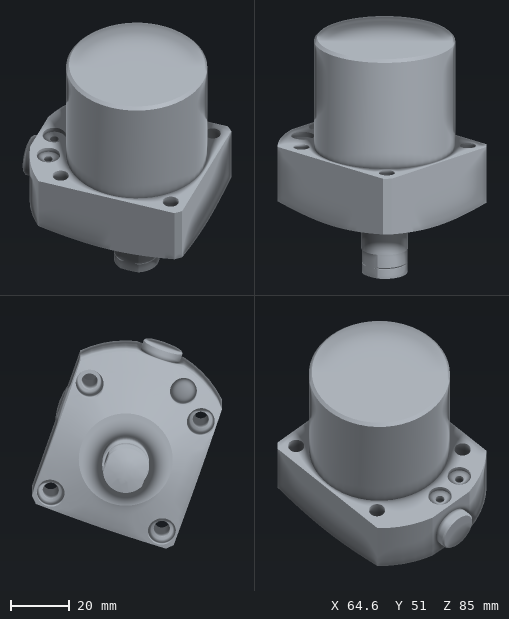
import cadquery as cq
import math


barrel_diameter = 48.0
barrel_height = 39.0
barrel_chamfer = 1.0
flange_width = 51.0
flange_right = 25.5
flange_flat = 35.45
flange_round_radius = 36.5
flange_corner_chamfer = 2.0
flange_depth = 25.0
nose_radius = 16.0
nose_angle = 15.0

bolt_spacing = 40.0
bolt_hole_diameter = 5.5
bolt_spot_face_diameter = 9.5
side_port_spot_face_diameter = 9.2
spot_face_z = -17.0
port_recess_diameter = 8.0
port_recess_depth = 1.7
port_diameter = 3.0
main_port = (-30.0, 0)
side_port = (-28.0, -11.0)
side_port_depth = 10.2

plug_diameter = 14.0
plug_z = -11.0
plug_projection = 3.6
plug_insertion = 4.9
plug_chamfer = 0.5
plug_bore_depth = 7.5

plunger_diameter = 16.0
plunger_length = 11.4
neck_diameter = 15.5
neck_length = 5.2
neck_chamfer = 0.5
wrench_width = 14.0
contact_dome_height = 1.0
overall_height = 85.0

neck_top = -flange_depth - plunger_length
contact_top = neck_top - neck_length
contact_tip = barrel_height - overall_height


def vertical_cylinder(diameter, bottom, top, center=(0, 0)):
    """Upright cylinder between two heights."""
    return cq.Workplane("XY", origin=(*center, bottom)).circle(diameter / 2).extrude(top - bottom)


def side_cylinder(depth):
    """Cylinder on the plug axis, from the -X flat to a depth inside the flange."""
    return cq.Workplane("YZ", origin=(-flange_flat, 0, plug_z)).circle(plug_diameter / 2).extrude(depth)


def make_flange():
    """Flange plate with a rounded -X end, a conical underside and chamfered +X corners."""
    half_width = flange_width / 2
    round_x = -math.sqrt(flange_round_radius**2 - half_width**2)
    flat_y = math.sqrt(flange_round_radius**2 - flange_flat**2)
    middle_angle = (math.atan2(half_width, -round_x) + math.atan2(flat_y, flange_flat)) / 2
    middle_x = -flange_round_radius * math.cos(middle_angle)
    middle_y = flange_round_radius * math.sin(middle_angle)
    plate = (
        cq.Workplane("XY")
        .moveTo(flange_right, -half_width)
        .lineTo(flange_right, half_width)
        .lineTo(round_x, half_width)
        .threePointArc((middle_x, middle_y), (-flange_flat, flat_y))
        .lineTo(-flange_flat, -flat_y)
        .threePointArc((middle_x, -middle_y), (round_x, -half_width))
        .close()
        .extrude(-flange_depth)
        .edges("|Z and >X")
        .chamfer(flange_corner_chamfer)
    )
    outer_radius = 1.1 * flange_round_radius
    cone_rise = (outer_radius - nose_radius) * math.tan(math.radians(nose_angle))
    envelope = (
        cq.Workplane("XZ")
        .polyline([
            (0, 0),
            (outer_radius, 0),
            (outer_radius, cone_rise - flange_depth),
            (nose_radius, -flange_depth),
            (0, -flange_depth),
        ])
        .close()
        .revolve(360, (0, 0, 0), (0, 1, 0))
    )
    return plate.intersect(envelope)


def make_housing():
    """Flange and barrel in one piece, with bolt holes, ports and the plug bore."""
    barrel = vertical_cylinder(barrel_diameter, 0, barrel_height).faces(">Z").chamfer(barrel_chamfer)
    housing = make_flange().union(barrel)
    half_spacing = bolt_spacing / 2
    bolt_places = [(x, y) for x in (-half_spacing, half_spacing) for y in (-half_spacing, half_spacing)]
    for place in bolt_places:
        housing = housing.cut(vertical_cylinder(bolt_hole_diameter, -flange_depth, 0, place))
        housing = housing.cut(vertical_cylinder(bolt_spot_face_diameter, -flange_depth, spot_face_z, place))
    housing = housing.cut(
        vertical_cylinder(side_port_spot_face_diameter, -flange_depth, spot_face_z, side_port)
    )
    for place, depth in ((main_port, -plug_z), (side_port, side_port_depth)):
        housing = housing.cut(vertical_cylinder(port_recess_diameter, -port_recess_depth, 0, place))
        housing = housing.cut(vertical_cylinder(port_diameter, -depth, 0, place))
    return housing.cut(side_cylinder(plug_bore_depth))


def make_plug():
    """Round plug that stands out of the -X flat and leaves the end of its bore open to the port."""
    head = side_cylinder(-plug_projection).faces("<X").chamfer(plug_chamfer)
    return head.union(side_cylinder(plug_insertion))


def wrench_flats(bottom, top):
    """Slab that trims a round body to two parallel wrench flats."""
    slab = cq.Workplane("XY", origin=(0, 0, bottom))
    return slab.rect(plunger_diameter, wrench_width).extrude(top - bottom)


def make_plunger():
    """Round plunger with a thinner neck that has two wrench flats."""
    rod = vertical_cylinder(plunger_diameter, neck_top, -flange_depth)
    neck = vertical_cylinder(neck_diameter, contact_top, neck_top).faces("<Z").chamfer(neck_chamfer)
    return rod.union(neck.intersect(wrench_flats(contact_top, neck_top)))


def make_contact_bolt():
    """Contact bolt head below the neck, with wrench flats and a shallow domed tip."""
    radius = neck_diameter / 2
    rim_z = contact_tip + contact_dome_height
    dome_radius = (radius**2 + contact_dome_height**2) / (2 * contact_dome_height)
    middle_x = radius / 2
    middle_z = contact_tip + dome_radius - math.sqrt(dome_radius**2 - middle_x**2)
    head = (
        cq.Workplane("XZ")
        .moveTo(0, contact_top)
        .lineTo(radius, contact_top)
        .lineTo(radius, rim_z)
        .threePointArc((middle_x, middle_z), (0, contact_tip))
        .close()
        .revolve(360, (0, 0, 0), (0, 1, 0))
    )
    return head.intersect(wrench_flats(contact_tip, contact_top))


housing = make_housing()
plug = make_plug()
plunger = make_plunger()
contact_bolt = make_contact_bolt()

result = cq.Compound.makeCompound([housing.val(), plug.val(), plunger.val(), contact_bolt.val()])